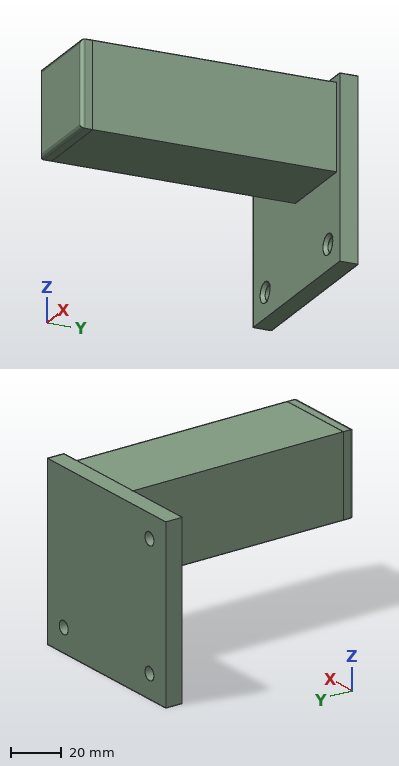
import cadquery as cq

PLATE_SIDE = 80.0
PLATE_THICKNESS = 8.0
TOTAL_LENGTH = 120.0

POST_SIDE = 38.0
POST_EDGE_GAP = 3.0
CAP_THICKNESS = 5.0
CAP_EDGE_RADIUS = 1.5

HOLE_DIAMETER = 6.0
COUNTERSINK_DIAMETER = 9.0
COUNTERSINK_ANGLE = 90.0
HOLE_EDGE_DISTANCE = 11.0

CAP_END = PLATE_THICKNESS - TOTAL_LENGTH
POST_END = CAP_END + CAP_THICKNESS
POST_CENTER = PLATE_SIDE / 2 - POST_EDGE_GAP - POST_SIDE / 2
HOLE_OFFSET = PLATE_SIDE / 2 - HOLE_EDGE_DISTANCE
HOLE_POSITIONS = [
    (-HOLE_OFFSET, HOLE_OFFSET),
    (-HOLE_OFFSET, -HOLE_OFFSET),
    (HOLE_OFFSET, -HOLE_OFFSET),
]


def square_block(side, center, y_front, length):
    """Square block starting at y_front, running toward +Y, centred at X = Z = center."""
    return (
        cq.Workplane("XY")
        .box(side, length, side, centered=(True, False, True))
        .translate((center, y_front, center))
    )


def make_bracket():
    """Plate with countersunk holes and the post fixed to its front face."""
    plate = (
        square_block(PLATE_SIDE, 0, 0, PLATE_THICKNESS)
        .faces("<Y")
        .workplane(origin=(0, 0, 0))
        .pushPoints(HOLE_POSITIONS)
        .cskHole(HOLE_DIAMETER, COUNTERSINK_DIAMETER, COUNTERSINK_ANGLE)
    )
    post = square_block(POST_SIDE, POST_CENTER, POST_END, -POST_END)
    return plate.union(post)


def make_cap():
    """Flush end cap with a rounded outer rim."""
    cap = square_block(POST_SIDE, POST_CENTER, CAP_END, CAP_THICKNESS)
    return cap.faces("<Y").edges().fillet(CAP_EDGE_RADIUS)


bracket = make_bracket()
end_cap = make_cap()

result = cq.Compound.makeCompound([bracket.val(), end_cap.val()])